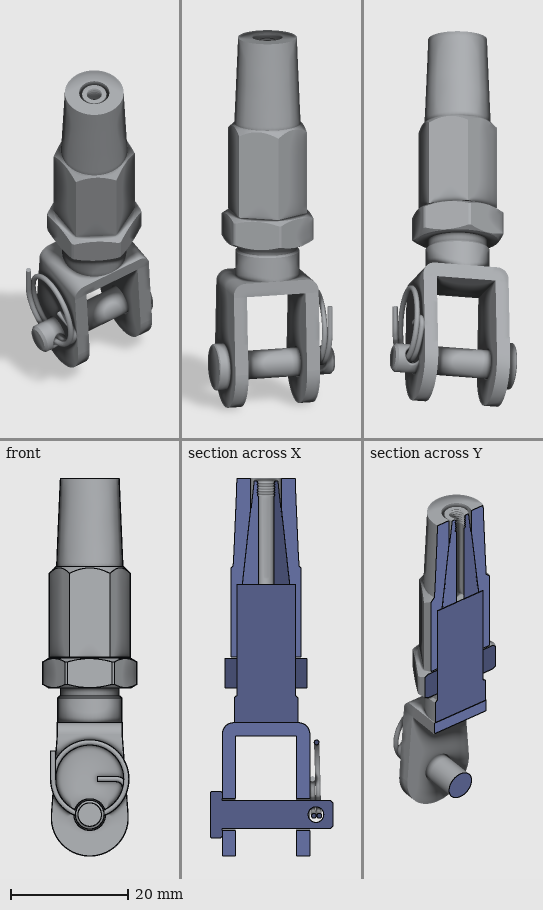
import cadquery as cq
import math

TOTAL_HEIGHT = 64.35

FORK_DEPTH = 15.0
LEG_THICKNESS = 2.3
FORK_TOP = 22.8
BRIDGE_THICKNESS = 2.4
BRIDGE_WIDTH = 11.15
BEND_RADIUS = 2.0
LEG_END_RADIUS = 6.55
PIN_HEIGHT = 7.1
PIN_HOLE_RADIUS = 2.7

COLLAR_RADIUS = 5.5
COLLAR_TOP = 27.3
COLLAR_CHAMFER = 0.3
SHANK_RADIUS = 5.0
STUD_TOP = 46.3

NUT_BOTTOM = 28.65
NUT_HEIGHT = 5.1
NUT_ACROSS_FLATS = 14.1
NUT_ROUNDED_DIAMETER = 16.0
NUT_FACE_RADIUS = 6.95
NUT_CHAMFER_HEIGHT = 0.65

SOCKET_BOTTOM = 33.9
SOCKET_ACROSS_FLATS = 12.0
CONE_BOTTOM = 49.35
CONE_BOTTOM_RADIUS = 5.65
HEXAGON_TOP_RADIUS = 5.7
CONE_TOP_RADIUS = 5.0
MOUTH_RADIUS = 2.6

JAW_COUNT = 3
JAW_TOP = 63.95
JAW_TOP_RADIUS = 2.05
JAW_BOTTOM_RADIUS = 4.0
JAW_BORE_RADIUS = 1.3
JAW_GROOVE_DEPTH = 0.2
JAW_GROOVE_PITCH = 0.45
JAW_GROOVE_COUNT = 6

PIN_RADIUS = 2.45
PIN_HEAD_RADIUS = 4.0
PIN_HEAD_THICKNESS = 2.0
PIN_HEAD_CHAMFER = 0.2
PIN_LENGTH = 20.9
PIN_TIP_CHAMFER = 0.45
CROSS_HOLE_RADIUS = 1.3
CROSS_HOLE_ROUNDING = 0.25
CROSS_HOLE_Y = -8.5

WIRE_RADIUS = 0.45
RING_RADIUS = 6.25
RING_HEIGHT = 13.1
COIL_GAP = 0.03
COIL_TURNS = 1.5
HOOK_ANGLE = 18.0
HOOK_END_X = 1.3
TAIL_LENGTH = 4.8

LEG_OUTER_Y = FORK_DEPTH / 2
BRIDGE_BOTTOM = FORK_TOP - BRIDGE_THICKNESS
COIL_PITCH = 2 * WIRE_RADIUS + COIL_GAP
JAW_SLOPE = (JAW_BOTTOM_RADIUS - JAW_TOP_RADIUS) / (JAW_TOP - STUD_TOP)
MOUTH_BOTTOM = JAW_TOP - (MOUTH_RADIUS - JAW_TOP_RADIUS) / JAW_SLOPE


def revolve_about_z(profile, angle=360):
    """Solid from a closed list of (radius, z) points."""
    return cq.Workplane("XZ").polyline(profile).close().revolve(angle, (0, 0), (0, 1))


def hexagon(across_flats, bottom, height):
    """Hexagonal prism with two corners on the X axis."""
    corner_diameter = across_flats / math.cos(math.radians(30))
    return cq.Workplane("XY").workplane(offset=bottom).polygon(6, corner_diameter).extrude(height)


def along_pin(y_from, y_to, radius):
    """Cylinder on the pin axis between two Y positions."""
    plane = cq.Workplane("XZ", origin=(0, y_from, PIN_HEIGHT))
    return plane.circle(radius).extrude(y_from - y_to)


def make_fork():
    blank_width = 3 * LEG_END_RADIUS

    strap = (
        cq.Workplane("XY")
        .box(blank_width, FORK_DEPTH, FORK_TOP, centered=(True, True, False))
        .edges("|X and >Z")
        .fillet(BEND_RADIUS)
    )
    gap = cq.Workplane("XY").box(
        blank_width, FORK_DEPTH - 2 * LEG_THICKNESS, BRIDGE_BOTTOM, centered=(True, True, False)
    )

    side_x = BRIDGE_WIDTH / 2
    side_rise = BRIDGE_BOTTOM - LEG_END_RADIUS
    slope = math.acos(LEG_END_RADIUS / math.hypot(side_x, side_rise))
    tangent_angle = math.atan2(side_rise, side_x) - slope
    tangent_x = LEG_END_RADIUS * math.cos(tangent_angle)
    tangent_z = LEG_END_RADIUS * (1 + math.sin(tangent_angle))
    outline = (
        cq.Workplane("XZ", origin=(0, LEG_OUTER_Y, 0))
        .moveTo(-side_x, FORK_TOP)
        .lineTo(side_x, FORK_TOP)
        .lineTo(side_x, BRIDGE_BOTTOM)
        .lineTo(tangent_x, tangent_z)
        .threePointArc((0, 0), (-tangent_x, tangent_z))
        .lineTo(-side_x, BRIDGE_BOTTOM)
        .close()
        .extrude(FORK_DEPTH)
    )
    pin_hole = along_pin(LEG_OUTER_Y, -LEG_OUTER_Y, PIN_HOLE_RADIUS)
    return strap.cut(gap).intersect(outline).cut(pin_hole)


def make_stud():
    collar = (
        cq.Workplane("XY", origin=(0, 0, FORK_TOP))
        .circle(COLLAR_RADIUS)
        .extrude(COLLAR_TOP - FORK_TOP)
        .faces(">Z")
        .chamfer(COLLAR_CHAMFER)
    )
    return collar.union(make_shank())


def make_shank():
    return cq.Workplane("XY", origin=(0, 0, FORK_TOP)).circle(SHANK_RADIUS).extrude(STUD_TOP - FORK_TOP)


def make_nut():
    top = NUT_BOTTOM + NUT_HEIGHT
    corner_radius = NUT_ROUNDED_DIAMETER / 2
    rounding = revolve_about_z([
        (0, NUT_BOTTOM),
        (NUT_FACE_RADIUS, NUT_BOTTOM),
        (corner_radius, NUT_BOTTOM + NUT_CHAMFER_HEIGHT),
        (corner_radius, top - NUT_CHAMFER_HEIGHT),
        (NUT_FACE_RADIUS, top),
        (0, top),
    ])
    return hexagon(NUT_ACROSS_FLATS, NUT_BOTTOM, NUT_HEIGHT).intersect(rounding).cut(make_shank())


def make_socket():
    hexagon_height = CONE_BOTTOM - SOCKET_BOTTOM
    corner_cone = revolve_about_z([
        (0, SOCKET_BOTTOM),
        (HEXAGON_TOP_RADIUS + hexagon_height, SOCKET_BOTTOM),
        (HEXAGON_TOP_RADIUS, CONE_BOTTOM),
        (0, CONE_BOTTOM),
    ])
    cone = revolve_about_z([
        (0, CONE_BOTTOM),
        (CONE_BOTTOM_RADIUS, CONE_BOTTOM),
        (CONE_TOP_RADIUS, TOTAL_HEIGHT),
        (0, TOTAL_HEIGHT),
    ])
    jaw_seat = revolve_about_z([
        (0, STUD_TOP),
        (JAW_BOTTOM_RADIUS, STUD_TOP),
        (MOUTH_RADIUS, MOUTH_BOTTOM),
        (MOUTH_RADIUS, TOTAL_HEIGHT),
        (0, TOTAL_HEIGHT),
    ])
    body = hexagon(SOCKET_ACROSS_FLATS, SOCKET_BOTTOM, hexagon_height).intersect(corner_cone).union(cone)
    return body.cut(jaw_seat).cut(make_shank())


def make_jaw(index):
    profile = [
        (JAW_BORE_RADIUS, STUD_TOP),
        (JAW_BOTTOM_RADIUS, STUD_TOP),
        (JAW_TOP_RADIUS, JAW_TOP),
        (JAW_BORE_RADIUS, JAW_TOP),
    ]
    for groove in range(JAW_GROOVE_COUNT):
        groove_middle = JAW_TOP - (groove + 0.5) * JAW_GROOVE_PITCH
        profile.append((JAW_BORE_RADIUS + JAW_GROOVE_DEPTH, groove_middle))
        profile.append((JAW_BORE_RADIUS, groove_middle - JAW_GROOVE_PITCH / 2))
    share = 360 / JAW_COUNT
    jaw = revolve_about_z(profile, share)
    return jaw.rotate((0, 0, 0), (0, 0, 1), 90 + index * share)


def make_pin():
    head_y = LEG_OUTER_Y + PIN_HEAD_THICKNESS
    head = along_pin(head_y, LEG_OUTER_Y, PIN_HEAD_RADIUS).edges().chamfer(PIN_HEAD_CHAMFER)
    shaft = along_pin(LEG_OUTER_Y, head_y - PIN_LENGTH, PIN_RADIUS).faces("<Y").chamfer(PIN_TIP_CHAMFER)
    cross_hole = (
        cq.Workplane("YZ", origin=(-PIN_RADIUS, CROSS_HOLE_Y, PIN_HEIGHT))
        .circle(CROSS_HOLE_RADIUS)
        .extrude(2 * PIN_RADIUS)
    )
    drilled_shaft = shaft.cut(cross_hole)
    hole_zone = cq.selectors.BoxSelector(
        (-PIN_RADIUS, CROSS_HOLE_Y - CROSS_HOLE_RADIUS, PIN_HEIGHT - CROSS_HOLE_RADIUS),
        (PIN_RADIUS, CROSS_HOLE_Y + CROSS_HOLE_RADIUS, PIN_HEIGHT + CROSS_HOLE_RADIUS),
    )
    return head.union(drilled_shaft.edges(hole_zone).fillet(CROSS_HOLE_ROUNDING))


def make_split_ring():
    coil_angle = 360 * COIL_TURNS - HOOK_ANGLE
    coil_height = COIL_PITCH * coil_angle / 360
    coil_path = cq.Workplane(
        cq.Wire.makeHelix(COIL_PITCH, coil_height, RING_RADIUS, lefthand=True)
    )
    coil = (
        cq.Workplane("XZ", origin=(RING_RADIUS, 0, 0))
        .circle(WIRE_RADIUS)
        .sweep(coil_path, isFrenet=True)
        .rotate((0, 0, 0), (0, 0, 1), -HOOK_ANGLE)
    )

    turn = math.radians(HOOK_ANGLE)
    bend_radius = RING_RADIUS * math.sin(turn) / (1 + math.sin(turn))
    bend_x = (RING_RADIUS - bend_radius) * math.cos(turn)
    middle_turn = math.radians((90 - HOOK_ANGLE) / 2)
    hook_path = (
        cq.Workplane("XY")
        .moveTo(HOOK_END_X, 0)
        .lineTo(bend_x, 0)
        .threePointArc(
            (bend_x + bend_radius * math.cos(middle_turn), bend_radius * (math.sin(middle_turn) - 1)),
            (RING_RADIUS * math.cos(turn), -RING_RADIUS * math.sin(turn)),
        )
    )
    hook = cq.Workplane("YZ", origin=(HOOK_END_X, 0, 0)).circle(WIRE_RADIUS).sweep(hook_path)

    tail = (
        cq.Workplane("XZ", origin=(-RING_RADIUS, 0, coil_height))
        .circle(WIRE_RADIUS)
        .extrude(-TAIL_LENGTH)
    )
    hook_y = -LEG_OUTER_Y - WIRE_RADIUS
    ring = coil.union(hook).union(tail)
    return ring.rotate((0, 0, 0), (1, 0, 0), 90).translate((0, hook_y, RING_HEIGHT))


fork = make_fork()
stud = make_stud()
nut = make_nut()
socket = make_socket()
jaws = [make_jaw(index) for index in range(JAW_COUNT)]
pin = make_pin()
split_ring = make_split_ring()

result = cq.Compound.makeCompound([
    fork.val(),
    stud.val(),
    nut.val(),
    socket.val(),
    *[jaw.val() for jaw in jaws],
    pin.val(),
    split_ring.val(),
])